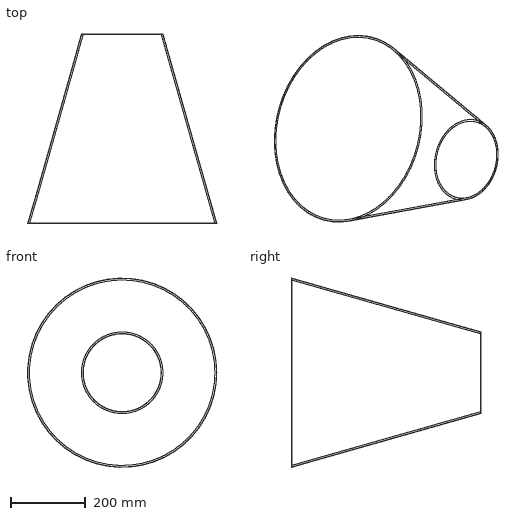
import cadquery as cq

large_diameter = 508.0
small_diameter = 219.1
length = 508.0
wall = 5.0

large_radius = large_diameter / 2
small_radius = small_diameter / 2


def conical_shell():
    """Revolve the sloping wall section around the Y axis."""
    section = (
        cq.Workplane("XY")
        .moveTo(large_radius - wall, 0)
        .lineTo(large_radius, 0)
        .lineTo(small_radius, length)
        .lineTo(small_radius - wall, length)
        .close()
    )
    return section.revolve(360, (0, 0, 0), (0, 1, 0))


result = conical_shell()